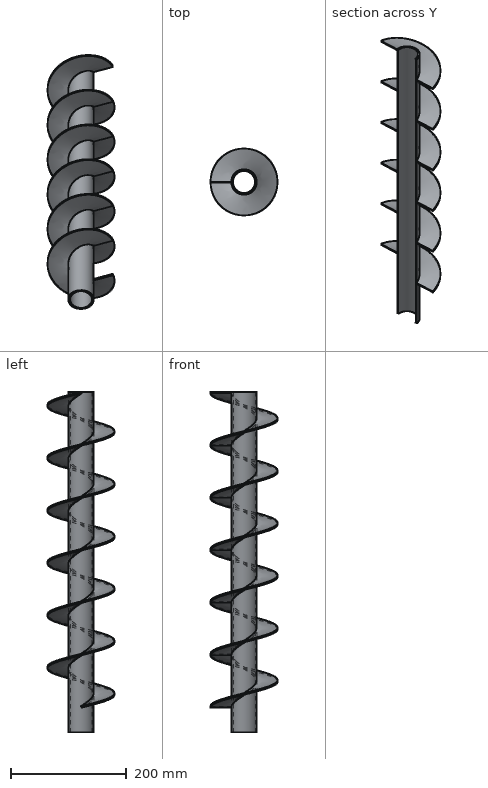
import cadquery as cq
import math

tube_outer_diameter = 44.0
tube_wall = 3.0
tube_length = 588.0

flight_diameter = 116.0
flight_thickness = 3.0
flight_count = 6
pitch = 90.5
start_angle = 180.0
top_overhang = 0.1

tube_radius = tube_outer_diameter / 2
flight_radius = flight_diameter / 2
first_flight_z = tube_length + top_overhang - flight_count * pitch

helix_slope = math.atan2(pitch, 2 * math.pi * tube_radius)
section_advance = flight_thickness * math.sin(helix_slope)
section_drop = flight_thickness * math.cos(helix_slope)

origin = cq.Vector(0, 0, 0)
z_axis = cq.Vector(0, 0, 1)


def corner_helix(radius, advance, drop):
    """One turn traced by a section corner, `advance` ahead of the radial start line and `drop` below it."""
    corner_radius = math.hypot(radius, advance)
    corner_angle = start_angle + math.degrees(math.atan2(advance, radius))
    helix = cq.Wire.makeHelix(pitch, pitch, corner_radius)
    turned = helix.rotate(origin, z_axis, corner_angle)
    return turned.translate(cq.Vector(0, 0, -drop)).Edges()[0]


def end_face(edge_pairs, position):
    """Flat end of a flight, at the start (0) or the finish (1) of its corner helices."""
    border = [cq.Edge.makeLine(a.positionAt(position), b.positionAt(position)) for a, b in edge_pairs]
    return cq.Face.makeFromWires(cq.Wire.assembleEdges(border))


def make_flight():
    """Helical plate with four ruled side faces and two flat ends."""
    corners = [
        corner_helix(tube_radius, 0, 0),
        corner_helix(flight_radius, 0, 0),
        corner_helix(flight_radius, section_advance, section_drop),
        corner_helix(tube_radius, section_advance, section_drop),
    ]
    edge_pairs = list(zip(corners, corners[1:] + corners[:1]))
    sides = [cq.Face.makeRuledSurface(a, b) for a, b in edge_pairs]
    ends = [end_face(edge_pairs, 0), end_face(edge_pairs, 1)]
    return cq.Solid.makeSolid(cq.Shell.makeShell(sides + ends))


def make_tube():
    """Plain round tube, open at both ends."""
    ring = cq.Workplane("XY").circle(tube_radius).circle(tube_radius - tube_wall)
    return ring.extrude(tube_length)


tube = make_tube()

flight = make_flight()
flights = []
for turn in range(flight_count):
    flights.append(flight.translate(cq.Vector(0, 0, first_flight_z + turn * pitch)))

result = cq.Compound.makeCompound([tube.val(), *flights])